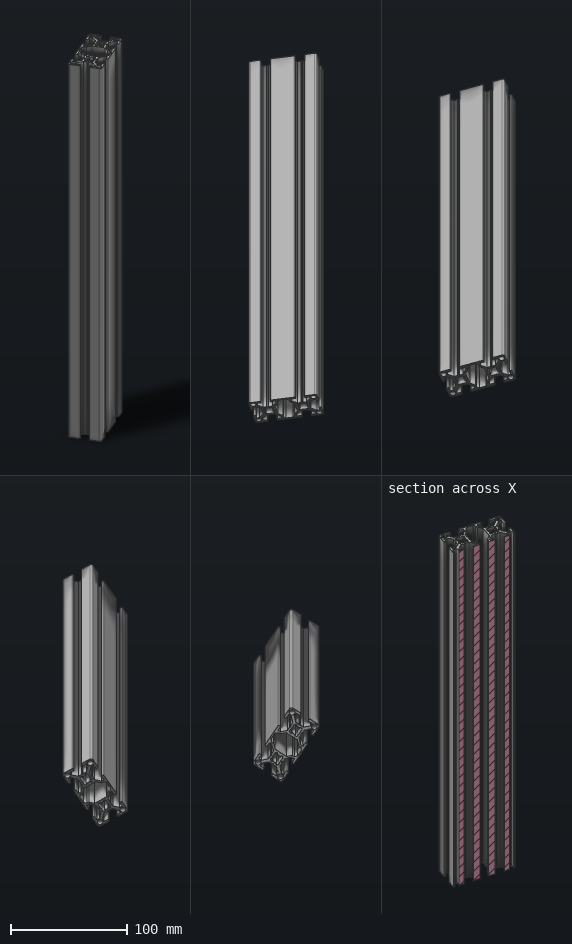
import cadquery as cq
import math

MODULE = 30.0
MODULE_COUNT = 2
LENGTH = 360.0
WIDTH = MODULE
DEPTH = MODULE_COUNT * MODULE
CORNER_RADIUS = 2.0

SLOT_OPENING = 8.5
LIP_THICKNESS = 2.2
LIP_OUTER_RADIUS = 0.6
LIP_INNER_RADIUS = 0.25
CHAMBER_WIDTH = 16.5

CORE_SIZE = 12.0
WEB_THICKNESS = 2.8

GROOVE_WIDTH = 1.7
GROOVE_DEPTH = 0.5

CORE_HOLE_X = 8.0
CORE_HOLE_Y = 8.6
CORE_HOLE_RADIUS = 1.1
PAD_WIDTH = 3.6
SCREW_DIAMETER = 7.3

CORNER_HOLLOW_DIAMETER = 4.8
CORNER_HOLLOW_WALL = 1.1

SIDE_WALL = 1.4
SHELF_THICKNESS = 1.7
CORE_END_THICKENING = 0.3
CHAMBER_CHAMFER = 2.0
CHAMBER_WEB_SHIFT = 0.4

WEB_SHIFT = WEB_THICKNESS / math.sqrt(2)
CORE_OFFSET = MODULE / 2


def extrude_full(sketch):
    """Extrude a closed sketch over the whole profile length."""
    return sketch.extrude(LENGTH)


def slot_cutter():
    """T-slot open toward +Y, for a module centred on the origin."""
    face = MODULE / 2
    lip = face - LIP_THICKNESS
    floor = CORE_SIZE / 2
    chamber = CHAMBER_WIDTH / 2
    mouth = SLOT_OPENING / 2
    outline = (
        cq.Workplane()
        .moveTo(0, floor - GROOVE_DEPTH)
        .lineTo(GROOVE_WIDTH / 2, floor)
        .lineTo(floor - WEB_SHIFT, floor)
        .lineTo(chamber, chamber + WEB_SHIFT)
        .lineTo(chamber, lip)
        .lineTo(mouth + LIP_INNER_RADIUS, lip)
        .radiusArc((mouth, lip + LIP_INNER_RADIUS), LIP_INNER_RADIUS)
        .lineTo(mouth, face - LIP_OUTER_RADIUS)
        .radiusArc((mouth + LIP_OUTER_RADIUS, face), LIP_OUTER_RADIUS)
        .lineTo(0, face)
        .close()
    )
    half = extrude_full(outline)
    return half.union(half.mirror("YZ"))


def core_hole_cutter():
    """Rounded hole, less the pads on its two ends along Y."""
    hole = extrude_full(cq.Workplane().rect(CORE_HOLE_X, CORE_HOLE_Y))
    hole = hole.edges("|Z").fillet(CORE_HOLE_RADIUS)
    pads = extrude_full(cq.Workplane().rect(PAD_WIDTH, CORE_HOLE_Y))
    screw = extrude_full(cq.Workplane().circle(SCREW_DIAMETER / 2))
    return hole.cut(pads.cut(screw))


def central_chamber_cutter():
    """Chamber bounded by the side walls, the slot shelves, the webs and the cores."""
    wall = WIDTH / 2 - SIDE_WALL
    shelf = CORE_OFFSET - CHAMBER_WIDTH / 2 - SHELF_THICKNESS
    ceiling = CORE_OFFSET - CORE_SIZE / 2 - CORE_END_THICKENING
    web_sum = CORE_OFFSET - CHAMBER_WEB_SHIFT
    quarter = [
        (wall, shelf - CHAMBER_CHAMFER),
        (wall - CHAMBER_CHAMFER, shelf),
        (web_sum - shelf, shelf),
        (web_sum - ceiling, ceiling),
    ]
    upper = quarter + [(-x, y) for x, y in reversed(quarter)]
    lower = [(-x, -y) for x, y in upper]
    return extrude_full(cq.Workplane().polyline(upper + lower).close())


def corner_hollow_cutter():
    """Four round hollows, one in each outer corner."""
    radius = CORNER_HOLLOW_DIAMETER / 2
    inset = CORNER_HOLLOW_WALL + radius
    centers = cq.Workplane().rect(WIDTH - 2 * inset, DEPTH - 2 * inset, forConstruction=True).vertices()
    return extrude_full(centers.circle(radius))


def module_cutter():
    """Core hole and three slots of the +Y module, whose -Y side joins the other module."""
    cutter = core_hole_cutter()
    for angle in (0, 90, -90):
        cutter = cutter.union(slot_cutter().rotate((0, 0, 0), (0, 0, 1), angle))
    return cutter.translate((0, CORE_OFFSET, 0))


profile = extrude_full(cq.Workplane().rect(WIDTH, DEPTH)).edges("|Z").fillet(CORNER_RADIUS)
for turn in (0, 180):
    profile = profile.cut(module_cutter().rotate((0, 0, 0), (0, 0, 1), turn))

result = profile.cut(central_chamber_cutter()).cut(corner_hollow_cutter())